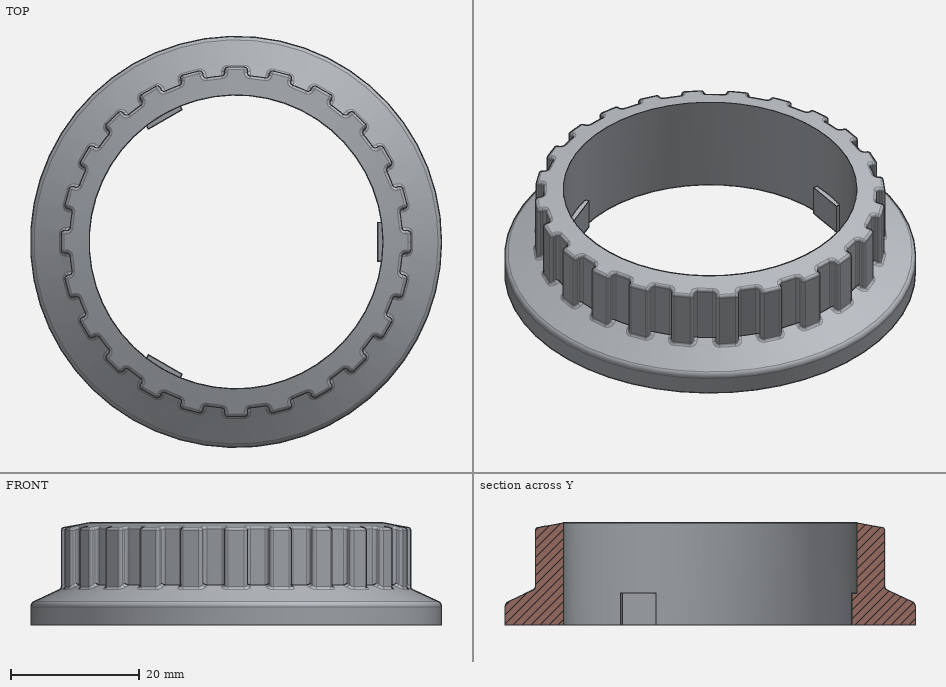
import cadquery as cq
import math

flange_radius = 32.0
bore_radius = 22.85
height = 15.95
rim_height = 2.8
rim_blend = 0.95
shoulder_angle = 25.0
top_angle = 10.5

tooth_count = 24
tooth_pitch = 360 / tooth_count
root_radius = 25.9
tip_radius = 27.2
tooth_width = 3.5
tooth_blend = 0.5

pad_count = 3
pad_distance = 22.0
pad_width = 6.1
pad_height = 5.0
pad_embed = 0.65

shoulder_slope = math.tan(math.radians(shoulder_angle))
top_slope = math.tan(math.radians(top_angle))
rim_blend_turn = math.radians(90 - shoulder_angle)
rim_corner_height = rim_height + rim_blend * math.tan(rim_blend_turn / 2)


def shoulder_height(radius):
    """Height of the shoulder cone at a given radius."""
    return rim_corner_height + (flange_radius - radius) * shoulder_slope


def top_height(radius):
    """Height of the gently sloping top cone at a given radius."""
    return height - (radius - bore_radius) * top_slope


def flange():
    """Solid flange with a rounded rim; its shoulder cone runs on inside the barrel."""
    blend_end_radius = flange_radius - rim_blend * (1 - math.cos(rim_blend_turn))
    blend_end_height = rim_height + rim_blend * math.sin(rim_blend_turn)
    return (
        cq.Workplane("XZ")
        .lineTo(flange_radius, 0)
        .lineTo(flange_radius, rim_height)
        .radiusArc((blend_end_radius, blend_end_height), -rim_blend)
        .lineTo(bore_radius, shoulder_height(bore_radius))
        .lineTo(0, shoulder_height(bore_radius))
        .close()
        .revolve(360, (0, 0, 0), (0, 1, 0))
    )


def toothed_barrel():
    """Solid barrel with straight-sided teeth, trimmed by the top cone."""
    tooth_length = tip_radius - bore_radius
    teeth = (
        cq.Workplane("XY")
        .polarArray(bore_radius + tooth_length / 2, 0, 360, tooth_count)
        .rect(tooth_length, tooth_width)
        .extrude(height)
    )
    core = cq.Workplane("XY").circle(root_radius).extrude(height)
    core = core.rotate((0, 0, 0), (0, 0, 1), tooth_pitch / 2)
    below_top = (
        cq.Workplane("XZ")
        .lineTo(flange_radius, 0)
        .lineTo(flange_radius, top_height(flange_radius))
        .lineTo(bore_radius, height)
        .lineTo(0, height)
        .close()
        .revolve(360, (0, 0, 0), (0, 1, 0))
    )
    return core.union(teeth).intersect(below_top)


def is_tooth_edge(edge):
    """True for every edge of the teeth and roots except the sharp foot of each root."""
    center = edge.Center()
    radius = math.hypot(center.x, center.y)
    on_barrel = root_radius - tooth_blend < radius < tip_radius + tooth_blend
    angle = math.degrees(math.atan2(center.y, center.x))
    from_tooth = abs(angle - tooth_pitch * round(angle / tooth_pitch))
    in_root = from_tooth > tooth_pitch / 3
    at_foot = center.z < (shoulder_height(root_radius) + height) / 2
    return on_barrel and not (in_root and at_foot)


def pads():
    """Blocks with flat inner faces, reaching into the ring wall."""
    pad_depth = bore_radius - pad_distance + pad_embed
    return (
        cq.Workplane("XY")
        .polarArray(pad_distance + pad_depth / 2, 0, 360, pad_count)
        .rect(pad_depth, pad_width)
        .extrude(pad_height)
    )


ring = flange().union(toothed_barrel())
ring = ring.edges().filter(is_tooth_edge).fillet(tooth_blend)
bore = cq.Workplane("XY").circle(bore_radius).extrude(height)
result = ring.cut(bore).union(pads())